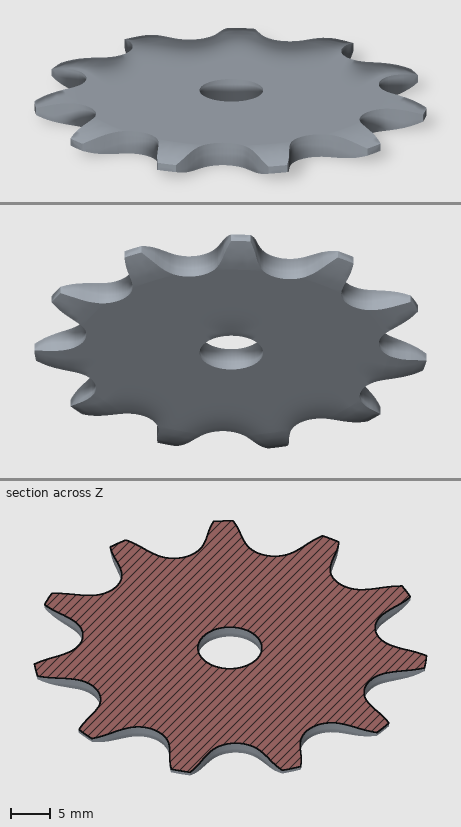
import cadquery as cq
import math

tooth_count = 11
thickness = 3.0
bore_diameter = 8.0
tip_radius = 24.8
pitch_radius = 22.5

bevel_start_radius = 19.65
bevel_arc_radius = 13.35

seat_radius = 3.9
seat_half_angle = 51.0
hollow_radius = 11.85
straight_angle = 30.0
straight_length = 0.75
rounded_radius = 11.35
rounded_end_angle = 46.0

gap_apex = 1.1 * tip_radius

tooth_pitch_angle = 360 / tooth_count
half_thickness = thickness / 2


def make_blank():
    """Round disc with the tooth bevel turned on both faces."""
    bevel_length = tip_radius - bevel_start_radius

    def bevel_point(distance):
        drop = bevel_arc_radius - math.sqrt(bevel_arc_radius**2 - distance**2)
        return bevel_start_radius + distance, half_thickness - drop

    mid_r, mid_z = bevel_point(bevel_length / 2)
    end_r, end_z = bevel_point(bevel_length)
    return (
        cq.Workplane("XZ")
        .moveTo(0, -half_thickness)
        .lineTo(bevel_start_radius, -half_thickness)
        .threePointArc((mid_r, -mid_z), (end_r, -end_z))
        .lineTo(end_r, end_z)
        .threePointArc((mid_r, mid_z), (bevel_start_radius, half_thickness))
        .lineTo(0, half_thickness)
        .close()
        .revolve(360, (0, 0), (0, 1))
    )


def flank_arc(start, radius, start_angle, end_angle):
    """Middle and end points of an arc whose direction turns between two angles from +Y.

    A positive radius suits a falling angle (hollow flank), a negative one a rising angle.
    """

    def point_at(angle):
        first = math.radians(start_angle)
        last = math.radians(angle)
        x = start[0] + radius * (math.cos(last) - math.cos(first))
        y = start[1] + radius * (math.sin(first) - math.sin(last))
        return x, y

    return point_at((start_angle + end_angle) / 2), point_at(end_angle)


def mirrored(point):
    return -point[0], point[1]


def make_gap():
    """Cutter for one tooth gap, opening along +Y."""
    seat_angle = math.radians(seat_half_angle)
    seat_bottom = (0, pitch_radius - seat_radius)
    seat_end = (
        seat_radius * math.sin(seat_angle),
        pitch_radius - seat_radius * math.cos(seat_angle),
    )
    hollow_mid, hollow_end = flank_arc(seat_end, hollow_radius, 90 - seat_half_angle, straight_angle)
    straight_end = (
        hollow_end[0] + straight_length * math.sin(math.radians(straight_angle)),
        hollow_end[1] + straight_length * math.cos(math.radians(straight_angle)),
    )
    rounded_mid, rounded_end = flank_arc(straight_end, -rounded_radius, straight_angle, rounded_end_angle)
    return (
        cq.Workplane("XY")
        .workplane(offset=-half_thickness)
        .moveTo(*mirrored(seat_end))
        .threePointArc(seat_bottom, seat_end)
        .threePointArc(hollow_mid, hollow_end)
        .lineTo(*straight_end)
        .threePointArc(rounded_mid, rounded_end)
        .lineTo(0, gap_apex)
        .lineTo(*mirrored(rounded_end))
        .threePointArc(mirrored(rounded_mid), mirrored(straight_end))
        .lineTo(*mirrored(hollow_end))
        .threePointArc(mirrored(hollow_mid), mirrored(seat_end))
        .close()
        .extrude(thickness)
    )


result = make_blank().faces(">Z").workplane(origin=(0, 0, 0)).hole(bore_diameter)

gap = make_gap()
for index in range(tooth_count):
    result = result.cut(gap.rotate((0, 0, 0), (0, 0, 1), index * tooth_pitch_angle))